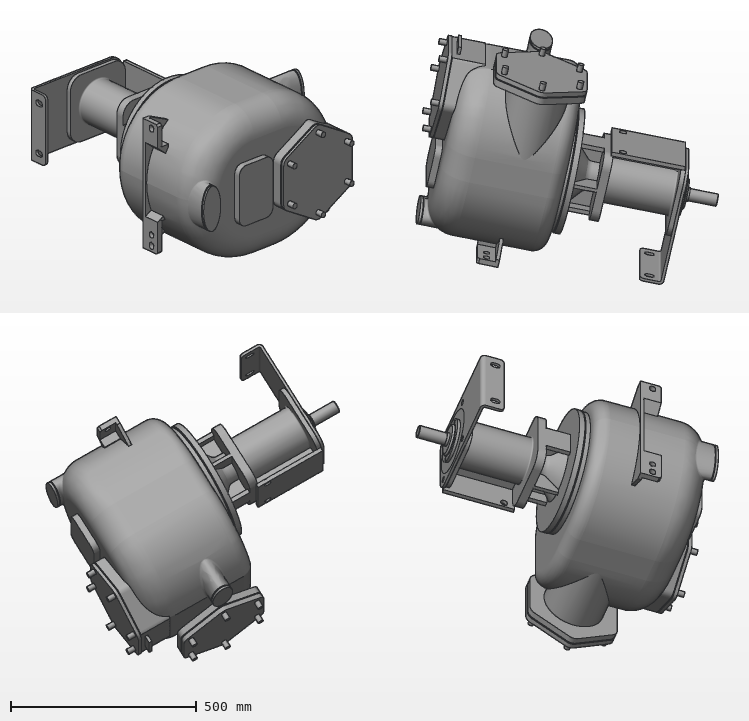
import cadquery as cq
import math

FOOT_PLANE_Y = -230.0

SHAFT_RADIUS = 17.0
SHAFT_CHAMFER = 1.5
COLLAR_RADIUS = 19.0
COLLAR_X = 78.0
SEAL_X = 85.0
SEAL_RADIUS = 45.0
SEAL_CHAMFER = 5.0
COVER_X = 92.0
COVER_RADIUS = 60.5
COVER_HOLE_OFFSET = 37.0
COVER_HOLE_DIAMETER = 7.0

BRACKET_X = 100.0
BRACKET_THICKNESS = 8.0
BRACKET_BACK_X = BRACKET_X + BRACKET_THICKNESS
BRACKET_WIDTH = 210.0
BRACKET_TOP_Y = 101.0
BRACKET_TOP_RADIUS = 40.0
BRACKET_FOOT_X = 165.0
BRACKET_FOOT_RADIUS = 13.0
BRACKET_BEND_RADIUS = 5.0
BRACKET_SLOT_X = 139.0
BRACKET_SLOT_Z = 75.0
BRACKET_SLOT_LENGTH = 26.0
BRACKET_SLOT_WIDTH = 17.0
PILOT_RADIUS = 90.5
BOLT_OFFSET = 76.0
BOLT_DIAMETER = 16.0

SQUARE_FLANGE_SIZE = 200.0
SQUARE_FLANGE_RADIUS = 40.0
FRONT_FLANGE_THICKNESS = 13.0
BARREL_X = BRACKET_BACK_X + FRONT_FLANGE_THICKNESS
BARREL_RADIUS = 65.5
BARREL_FILLET = 4.0
REAR_FLANGE_X = 307.5
REAR_FLANGE_BACK_X = 332.0

GUARD_X = 111.0
GUARD_BACK_X = 314.0
GUARD_Y = 102.0
GUARD_OUTER_Y = 113.0
GUARD_HEIGHT = 170.0
GUARD_HOLE_X = 283.5
GUARD_HOLE_Z = 69.0
GUARD_HOLE_DIAMETER = 19.0
WEB_THICKNESS = 10.0

NECK_RADIUS = 43.0
NECK_END_X = 352.0
FLARE_X = 364.0
FLARE_RADIUS = 47.0
CONE_RADIUS = 88.0
RIB_REACH = SQUARE_FLANGE_SIZE / 2
SIDE_PLATE_WIDTH = 74.0
SIDE_PLATE_THICKNESS = 12.0
ADAPTER_DISC_X = 401.0
ADAPTER_DISC_RADIUS = 172.0
DISC_GROOVE_X = 417.0
DISC_GROOVE_RADIUS = 168.5
CASING_DISC_X = 420.0
CASING_DISC_RADIUS = 170.5

CASING_X = 432.5
CASING_BACK_X = 764.0
CASING_AXIS_Z = -12.0
CASING_TOP_RADIUS = 211.0
CASING_BOTTOM_RADIUS = 239.0
CASING_HIGH_TOP_RADIUS = 222.0
CASING_LOW_Y = -225.0
CASING_HIGH_Y = 298.0
CASING_HIGH_CENTER_Y = 87.0
CASING_FRONT_FILLET = 38.0
CASING_BACK_FILLET = 79.0

HEX_APOTHEM = 125.0
HEX_CORNER_RADIUS = 25.0
HEX_GROOVE_DEPTH = 2.0
STUD_CIRCLE_RADIUS = 119.5
STUD_DIAMETER = 16.0
PORT_CENTER_X = 554.5

INLET_CENTER_Z = -165.0
INLET_PIPE_RADIUS = 85.0
INLET_PIPE_Y = 80.0
INLET_FLANGE_Y = 300.0
INLET_GROOVE_Y = 319.0
INLET_COVER_Y = 321.0
INLET_FACE_Y = 335.0
INLET_STUD_Y = 355.0

OUTLET_CENTER_Y = 180.0
OUTLET_CENTER_Z = -26.0
OUTLET_BLOCK_X = 702.0
OUTLET_BLOCK_HIGH_Y = 299.0
OUTLET_GROOVE_X = 793.0
OUTLET_COVER_X = 795.0
OUTLET_FACE_X = 805.0
OUTLET_STUD_X = 826.5

OVAL_HALF_WIDTH = 31.0
SIDE_BOSS_HALF_HEIGHT = 65.0
SIDE_BOSS_Z = 80.0
SIDE_BOSS_END_Y = 329.0
SIDE_BOSS_START_Y = 150.0
BACK_BOSS_HALF_HEIGHT = 67.5
BACK_BOSS_Y = -185.0
BACK_BOSS_Z = -25.0
BACK_BOSS_START_X = 640.0
BACK_BOSS_END_X = 783.0
BOSS_FILLET = 6.0
BOSS_RIM_THICKNESS = 7.0
BOSS_GROOVE_WIDTH = 2.0
BOSS_GROOVE_DEPTH = 1.5
SEAT_MARGIN = 2.0
PAD_Y = -25.0
PAD_Z = -25.0
PAD_WIDTH = 122.0
PAD_HEIGHT = 180.0
PAD_RADIUS = 25.0
LUG_X = 772.0
LUG_THICKNESS = 8.5
LUG_END_Y = 320.0
LUG_HEIGHT = 82.0

RIB_X = 554.5
RIB_THICKNESS = 10.0
RIB_EDGE_Y = -208.0
RIB_INNER_Y = -100.0
RIB_TOP_Z = 179.0
RIB_TOP_INNER_Z = 130.0
RIB_BOTTOM_Z = -208.0
RIB_BOTTOM_INNER_Z = -143.0
FOOT_PAD_WIDTH = 59.5
FOOT_PAD_THICKNESS = 15.0
FOOT_PAD_CORNER = 6.0
UPPER_PAD_INNER_Z = 110.0
LOWER_PAD_INNER_Z = -111.0
PAD_WEB_SLOPE_Y = 30.0
UPPER_PAD_SLOPE_Z = 25.0
LOWER_PAD_SLOPE_Z = 17.0
PAD_WEB_INNER_Y = -190.0
FOOT_HOLE_X = 589.0
FOOT_HOLE_DIAMETER = 17.0
FOOT_SLOT_LENGTH = 20.0
UPPER_FOOT_SLOT_Z = 160.0
LOWER_FOOT_SLOT_Z = -190.0
LOWER_FOOT_HOLE_Z = -157.5


def box(x0, x1, y0, y1, z0, z1):
    """Block between two opposite corners."""
    return cq.Workplane().box(x1 - x0, y1 - y0, z1 - z0, centered=False).translate((x0, y0, z0))


def on_x(x, y=0.0, z=0.0):
    """Sketch plane facing +X, with local axes Y and Z."""
    return cq.Workplane("YZ", origin=(x, y, z))


def on_y(y, x=0.0, z=0.0):
    """Sketch plane facing +Y, with local axes -X and Z."""
    return cq.Workplane(cq.Plane(origin=(x, y, z), xDir=(-1, 0, 0), normal=(0, 1, 0)))


def disc(x0, x1, radius):
    """Disc on the shaft axis."""
    return on_x(x0).circle(radius).extrude(x1 - x0)


def corner_points(offset):
    """Four points at the corners of a centred square."""
    return [(a, b) for a in (-offset, offset) for b in (-offset, offset)]


def make_bracket():
    half_width = BRACKET_WIDTH / 2
    wall = box(BRACKET_X, BRACKET_BACK_X, FOOT_PLANE_Y, BRACKET_TOP_Y, -half_width, half_width)
    wall = wall.edges("|X and >Y").fillet(BRACKET_TOP_RADIUS)
    foot_top_y = FOOT_PLANE_Y + BRACKET_THICKNESS
    foot = box(BRACKET_X, BRACKET_FOOT_X, FOOT_PLANE_Y, foot_top_y, -half_width, half_width)
    foot = foot.edges("|Y and >X").fillet(BRACKET_FOOT_RADIUS)
    bracket = wall.union(foot)
    inner_bend = cq.selectors.NearestToPointSelector((BRACKET_BACK_X, foot_top_y, 0))
    bracket = bracket.edges(inner_bend).fillet(BRACKET_BEND_RADIUS)
    bracket = bracket.edges("|Z and <X and <Y").fillet(BRACKET_BEND_RADIUS + BRACKET_THICKNESS)

    bracket = bracket.cut(disc(BRACKET_X, BRACKET_BACK_X, PILOT_RADIUS))
    bolt_holes = on_x(BRACKET_X).pushPoints(corner_points(BOLT_OFFSET))
    bracket = bracket.cut(bolt_holes.circle(BOLT_DIAMETER / 2).extrude(BRACKET_THICKNESS))
    slots = on_y(FOOT_PLANE_Y, BRACKET_SLOT_X).pushPoints([(0, -BRACKET_SLOT_Z), (0, BRACKET_SLOT_Z)])
    slots = slots.slot2D(BRACKET_SLOT_LENGTH, BRACKET_SLOT_WIDTH).extrude(BRACKET_THICKNESS)
    return bracket.cut(slots)


def make_shaft_and_cover():
    shaft = disc(0, SEAL_X, SHAFT_RADIUS).faces("<X").chamfer(SHAFT_CHAMFER)
    collar = disc(COLLAR_X, SEAL_X, COLLAR_RADIUS)
    seal = disc(SEAL_X, COVER_X, SEAL_RADIUS).faces("<X").edges().chamfer(SEAL_CHAMFER)
    cover = disc(COVER_X, BRACKET_X, COVER_RADIUS)
    holes = on_x(COVER_X).pushPoints(corner_points(COVER_HOLE_OFFSET))
    cover = cover.cut(holes.circle(COVER_HOLE_DIAMETER / 2).extrude(BRACKET_X - COVER_X))
    return shaft.union(collar).union(seal).union(cover)


def make_bearing_housing():
    housing = disc(BRACKET_X, BRACKET_BACK_X, PILOT_RADIUS)
    bolts = on_x(BRACKET_X).pushPoints(corner_points(BOLT_OFFSET))
    housing = housing.union(bolts.circle(BOLT_DIAMETER / 2).extrude(BARREL_X - BRACKET_X))
    for x0, x1 in ((BRACKET_BACK_X, BARREL_X), (REAR_FLANGE_X, REAR_FLANGE_BACK_X)):
        flange = on_x(x0).rect(SQUARE_FLANGE_SIZE, SQUARE_FLANGE_SIZE).extrude(x1 - x0)
        flange = flange.edges("|X").fillet(SQUARE_FLANGE_RADIUS)
        housing = housing.union(flange)
    housing = housing.union(disc(BARREL_X, REAR_FLANGE_X, BARREL_RADIUS))
    reach = BARREL_RADIUS + BARREL_FILLET
    barrel_zone = cq.selectors.BoxSelector(
        (BARREL_X - BARREL_FILLET, -reach, -reach),
        (REAR_FLANGE_X + BARREL_FILLET, reach, reach),
        boundingbox=True)
    return housing.edges("%CIRCLE").edges(barrel_zone).fillet(BARREL_FILLET)


def make_guard():
    half_height = GUARD_HEIGHT / 2
    plate = box(GUARD_X, GUARD_BACK_X, GUARD_Y, GUARD_OUTER_Y, -half_height, half_height)
    holes = on_y(GUARD_Y, GUARD_HOLE_X).pushPoints([(0, -GUARD_HOLE_Z), (0, GUARD_HOLE_Z)])
    plate = plate.cut(holes.circle(GUARD_HOLE_DIAMETER / 2).extrude(GUARD_OUTER_Y - GUARD_Y))
    web = box(BARREL_X, REAR_FLANGE_X, 0, GUARD_Y, -WEB_THICKNESS / 2, WEB_THICKNESS / 2)
    return plate.union(web)


def make_adapter():
    half_web = WEB_THICKNESS / 2
    half_plate = SIDE_PLATE_WIDTH / 2
    profile = (
        cq.Workplane("XY")
        .moveTo(REAR_FLANGE_BACK_X, 0)
        .lineTo(REAR_FLANGE_BACK_X, NECK_RADIUS)
        .lineTo(NECK_END_X, NECK_RADIUS)
        .tangentArcPoint((FLARE_X, FLARE_RADIUS), relative=False)
        .lineTo(ADAPTER_DISC_X, CONE_RADIUS)
        .lineTo(ADAPTER_DISC_X, 0)
        .close()
    )
    adapter = profile.revolve(360, (0, 0, 0), (1, 0, 0))
    upright_rib = box(REAR_FLANGE_BACK_X, ADAPTER_DISC_X, -half_web, half_web, -RIB_REACH, RIB_REACH)
    flat_rib = box(REAR_FLANGE_BACK_X, ADAPTER_DISC_X, -RIB_REACH, RIB_REACH, -half_web, half_web)
    adapter = adapter.union(upright_rib).union(flat_rib)
    for y0 in (-RIB_REACH, RIB_REACH - SIDE_PLATE_THICKNESS):
        y1 = y0 + SIDE_PLATE_THICKNESS
        adapter = adapter.union(box(REAR_FLANGE_BACK_X, ADAPTER_DISC_X, y0, y1, -half_plate, half_plate))
    adapter = adapter.union(disc(ADAPTER_DISC_X, DISC_GROOVE_X, ADAPTER_DISC_RADIUS))
    adapter = adapter.union(disc(DISC_GROOVE_X, CASING_DISC_X, DISC_GROOVE_RADIUS))
    return adapter.union(disc(CASING_DISC_X, CASING_X, CASING_DISC_RADIUS))


def make_casing():
    low_top_y = CASING_LOW_Y + CASING_TOP_RADIUS
    low_bottom_y = CASING_LOW_Y + CASING_BOTTOM_RADIUS
    top_z = CASING_AXIS_Z + CASING_TOP_RADIUS
    bottom_z = CASING_AXIS_Z - CASING_BOTTOM_RADIUS
    flat_offset = CASING_HIGH_Y - CASING_HIGH_CENTER_Y
    high_top_center_z = top_z - CASING_HIGH_TOP_RADIUS
    flat_top_z = high_top_center_z + math.sqrt(CASING_HIGH_TOP_RADIUS**2 - flat_offset**2)
    flat_bottom_z = CASING_AXIS_Z - math.sqrt(CASING_BOTTOM_RADIUS**2 - flat_offset**2)
    outline = (
        on_x(CASING_X)
        .moveTo(low_top_y, top_z)
        .lineTo(CASING_HIGH_CENTER_Y, top_z)
        .radiusArc((CASING_HIGH_Y, flat_top_z), CASING_HIGH_TOP_RADIUS)
        .lineTo(CASING_HIGH_Y, flat_bottom_z)
        .radiusArc((CASING_HIGH_CENTER_Y, bottom_z), CASING_BOTTOM_RADIUS)
        .lineTo(low_bottom_y, bottom_z)
        .radiusArc((CASING_LOW_Y, CASING_AXIS_Z), CASING_BOTTOM_RADIUS)
        .radiusArc((low_top_y, top_z), CASING_TOP_RADIUS)
        .close()
    )
    casing = outline.extrude(CASING_BACK_X - CASING_X)
    casing = casing.faces("<X").edges().fillet(CASING_FRONT_FILLET)
    return casing.faces(">X").edges().fillet(CASING_BACK_FILLET)


def oval_boss(plane, half_height, length):
    """Elliptical boss with a shallow groove around it near its free end."""
    boss = plane.ellipse(OVAL_HALF_WIDTH, half_height).extrude(length)
    groove_plane = plane.workplane(offset=length - BOSS_RIM_THICKNESS - BOSS_GROOVE_WIDTH)
    ring = groove_plane.ellipse(OVAL_HALF_WIDTH, half_height).extrude(BOSS_GROOVE_WIDTH)
    core_half_width = OVAL_HALF_WIDTH - BOSS_GROOVE_DEPTH
    core_half_height = half_height - BOSS_GROOVE_DEPTH
    core = groove_plane.ellipse(core_half_width, core_half_height).extrude(BOSS_GROOVE_WIDTH)
    return boss.cut(ring.cut(core))


def add_casing_bosses(casing):
    side_plane = on_y(SIDE_BOSS_START_Y, PORT_CENTER_X, SIDE_BOSS_Z)
    side_boss = oval_boss(side_plane, SIDE_BOSS_HALF_HEIGHT, SIDE_BOSS_END_Y - SIDE_BOSS_START_Y)
    back_plane = on_x(BACK_BOSS_START_X, BACK_BOSS_Y, BACK_BOSS_Z)
    back_boss = oval_boss(back_plane, BACK_BOSS_HALF_HEIGHT, BACK_BOSS_END_X - BACK_BOSS_START_X)
    casing = casing.union(side_boss).union(back_boss)

    side_seat = cq.selectors.BoxSelector(
        (PORT_CENTER_X - OVAL_HALF_WIDTH - SEAT_MARGIN, SIDE_BOSS_START_Y, 0),
        (PORT_CENTER_X + OVAL_HALF_WIDTH + SEAT_MARGIN, CASING_HIGH_Y + SEAT_MARGIN,
         SIDE_BOSS_Z + SIDE_BOSS_HALF_HEIGHT + SEAT_MARGIN),
        boundingbox=True)
    back_seat = cq.selectors.BoxSelector(
        (BACK_BOSS_START_X, BACK_BOSS_Y - OVAL_HALF_WIDTH - SEAT_MARGIN,
         BACK_BOSS_Z - BACK_BOSS_HALF_HEIGHT - SEAT_MARGIN),
        (CASING_BACK_X + SEAT_MARGIN, BACK_BOSS_Y + OVAL_HALF_WIDTH + SEAT_MARGIN,
         BACK_BOSS_Z + BACK_BOSS_HALF_HEIGHT + SEAT_MARGIN),
        boundingbox=True)
    for seat in (side_seat, back_seat):
        casing = casing.edges(seat).edges("%BSPLINE").fillet(BOSS_FILLET)

    pad = on_x(CASING_BACK_X, PAD_Y, PAD_Z)
    pad = pad.rect(PAD_WIDTH, PAD_HEIGHT).extrude(BACK_BOSS_END_X - CASING_BACK_X)
    return casing.union(pad.edges("|X").fillet(PAD_RADIUS))


def hexagon(plane, start, end, inset=0.0):
    """Round-cornered hexagonal plate with corners pointing along Z, drawn on a plane at `start`."""
    circumdiameter = 2 * (HEX_APOTHEM - inset) / math.cos(math.pi / 6)
    plate = plane.transformed(rotate=(0, 0, 90)).polygon(6, circumdiameter).extrude(end - start)
    side_edges = "|X" if plane.plane.zDir.x > 0.5 else "|Y"
    return plate.edges(side_edges).fillet(HEX_CORNER_RADIUS)


def studs(plane, length):
    """Six studs, one at each hexagon corner."""
    circle = plane.polarArray(STUD_CIRCLE_RADIUS, 90, 360, 6)
    return circle.circle(STUD_DIAMETER / 2).extrude(length)


def make_inlet():
    def plane(y):
        return on_y(y, PORT_CENTER_X, INLET_CENTER_Z)

    inlet = plane(INLET_PIPE_Y).circle(INLET_PIPE_RADIUS).extrude(INLET_FLANGE_Y - INLET_PIPE_Y)
    inlet = inlet.union(hexagon(plane(INLET_FLANGE_Y), INLET_FLANGE_Y, INLET_GROOVE_Y))
    inlet = inlet.union(hexagon(plane(INLET_GROOVE_Y), INLET_GROOVE_Y, INLET_COVER_Y, HEX_GROOVE_DEPTH))
    inlet = inlet.union(hexagon(plane(INLET_COVER_Y), INLET_COVER_Y, INLET_FACE_Y))
    return inlet.union(studs(plane(INLET_FACE_Y), INLET_STUD_Y - INLET_FACE_Y))


def make_outlet():
    def plane(x):
        return on_x(x, OUTLET_CENTER_Y, OUTLET_CENTER_Z)

    block = hexagon(plane(OUTLET_BLOCK_X), OUTLET_BLOCK_X, OUTLET_GROOVE_X)
    groove = hexagon(plane(OUTLET_GROOVE_X), OUTLET_GROOVE_X, OUTLET_COVER_X, HEX_GROOVE_DEPTH)
    outlet = block.union(groove)
    bounds = outlet.val().BoundingBox()
    trim = box(bounds.xmin, bounds.xmax, OUTLET_BLOCK_HIGH_Y, bounds.ymax, bounds.zmin, bounds.zmax)
    outlet = outlet.cut(trim)
    outlet = outlet.union(hexagon(plane(OUTLET_COVER_X), OUTLET_COVER_X, OUTLET_FACE_X))
    outlet = outlet.union(studs(plane(OUTLET_FACE_X), OUTLET_STUD_X - OUTLET_FACE_X))
    lug_z = OUTLET_CENTER_Z - LUG_HEIGHT / 2
    lug = box(LUG_X, LUG_X + LUG_THICKNESS, OUTLET_CENTER_Y, LUG_END_Y, lug_z, lug_z + LUG_HEIGHT)
    return outlet.union(lug)


def make_foot_pad(end_z, inner_z, slope_height):
    """Pad on the foot plane from `end_z` to `inner_z`, bent back to the casing at its inner end."""
    inward = math.copysign(1, inner_z - end_z)
    front_y = FOOT_PLANE_Y
    back_y = FOOT_PLANE_Y + FOOT_PAD_THICKNESS
    slope_z = inner_z + inward * slope_height
    outline = [
        (front_y, end_z),
        (front_y, inner_z),
        (front_y + PAD_WEB_SLOPE_Y, slope_z),
        (PAD_WEB_INNER_Y, slope_z),
        (PAD_WEB_INNER_Y, inner_z),
        (back_y, inner_z),
        (back_y, end_z),
    ]
    pad = on_x(RIB_X).polyline(outline).close().extrude(FOOT_PAD_WIDTH)
    corner = cq.selectors.NearestToPointSelector((RIB_X + FOOT_PAD_WIDTH, (front_y + back_y) / 2, end_z))
    return pad.edges("|Y").edges(corner).chamfer(FOOT_PAD_CORNER)


def make_feet():
    rib = on_x(RIB_X).polyline([
        (FOOT_PLANE_Y, RIB_TOP_Z),
        (RIB_EDGE_Y, RIB_TOP_Z),
        (RIB_INNER_Y, RIB_TOP_INNER_Z),
        (RIB_INNER_Y, RIB_BOTTOM_INNER_Z),
        (RIB_EDGE_Y, RIB_BOTTOM_Z),
        (FOOT_PLANE_Y, RIB_BOTTOM_Z),
    ]).close().extrude(RIB_THICKNESS)
    feet = rib.union(make_foot_pad(RIB_TOP_Z, UPPER_PAD_INNER_Z, UPPER_PAD_SLOPE_Z))
    feet = feet.union(make_foot_pad(RIB_BOTTOM_Z, LOWER_PAD_INNER_Z, LOWER_PAD_SLOPE_Z))
    plane = on_y(FOOT_PLANE_Y, FOOT_HOLE_X)
    slots = plane.pushPoints([(0, UPPER_FOOT_SLOT_Z), (0, LOWER_FOOT_SLOT_Z)])
    feet = feet.cut(slots.slot2D(FOOT_SLOT_LENGTH, FOOT_HOLE_DIAMETER, 90).extrude(FOOT_PAD_THICKNESS))
    hole = plane.center(0, LOWER_FOOT_HOLE_Z).circle(FOOT_HOLE_DIAMETER / 2)
    return feet.cut(hole.extrude(FOOT_PAD_THICKNESS))


def make_pump():
    pump = make_shaft_and_cover()
    pump = pump.union(make_bearing_housing())
    pump = pump.union(make_guard())
    pump = pump.union(make_adapter())
    pump = pump.union(add_casing_bosses(make_casing()))
    pump = pump.union(make_inlet())
    pump = pump.union(make_outlet())
    return pump.union(make_feet())


bracket = make_bracket()
pump = make_pump()
result = cq.Compound.makeCompound([pump.val(), bracket.val()])